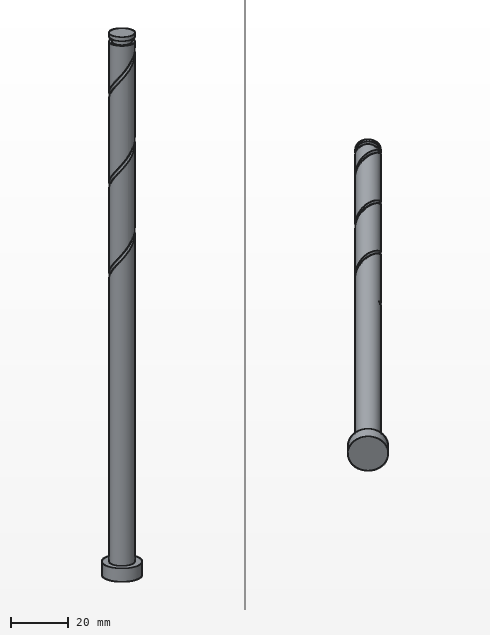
import cadquery as cq
import math

length = 200.0
head_diameter = 14.0
head_height = 5.0
shaft_diameter = 9.0

ring_groove_diameter = 7.0
ring_groove_width = 1.8
tip_land = 1.5
shaft_shoulder_z = length - tip_land - ring_groove_width

spiral_top_drop = 0.5
spiral_pitch = 33.2
spiral_turns = 3
spiral_groove_radius = 0.5
spiral_start_angle = 90.0
spiral_height = spiral_turns * spiral_pitch
spiral_bottom_z = shaft_shoulder_z - spiral_top_drop - spiral_height


def make_pin():
    """Headed pin standing on its head."""
    head = cq.Workplane("XY").circle(head_diameter / 2).extrude(head_height)
    shaft = cq.Workplane("XY").circle(shaft_diameter / 2).extrude(length)
    return head.union(shaft)


def make_ring_groove():
    """Square-sided ring that is cut around the shaft near its tip."""
    return (
        cq.Workplane("XY")
        .workplane(offset=shaft_shoulder_z)
        .circle(head_diameter / 2)
        .circle(ring_groove_diameter / 2)
        .extrude(ring_groove_width)
    )


def make_spiral_groove():
    """Round cutter swept along a helix on the shaft surface."""
    shaft_radius = shaft_diameter / 2
    helix = cq.Wire.makeHelix(spiral_pitch, spiral_height, shaft_radius)
    start_plane = cq.Plane(
        origin=(shaft_radius, 0, 0),
        xDir=(1, 0, 0),
        normal=(0, math.pi * shaft_diameter, spiral_pitch),
    )
    return (
        cq.Workplane(start_plane)
        .circle(spiral_groove_radius)
        .sweep(cq.Workplane(obj=helix), isFrenet=True)
        .rotate((0, 0, 0), (0, 0, 1), spiral_start_angle)
        .translate((0, 0, spiral_bottom_z))
    )


result = make_pin().cut(make_spiral_groove()).cut(make_ring_groove())